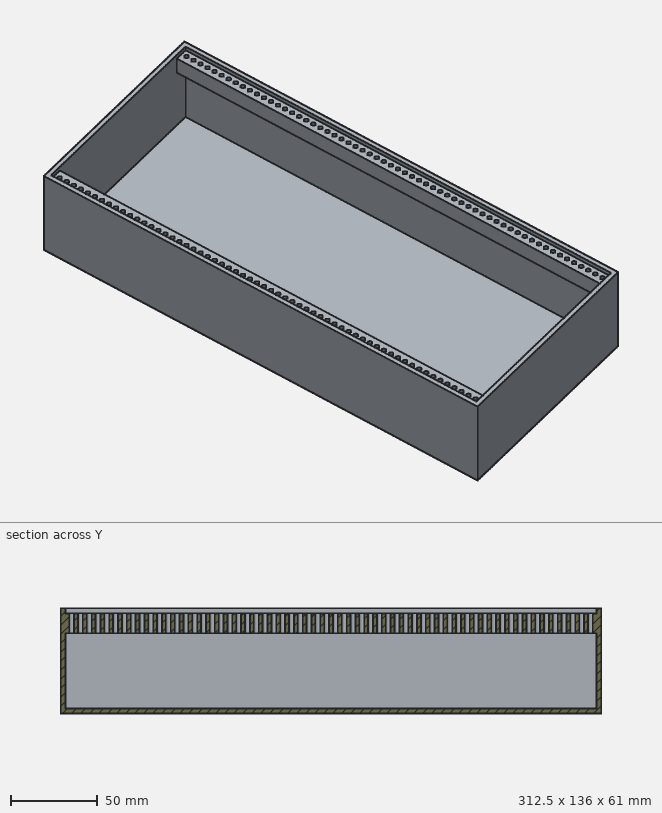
import cadquery as cq

length = 312.5
width = 136.0
height = 61.0
wall = 3.0
floor = 3.0

rail_width = 8.5
rail_height = 11.5
rail_recess = 3.0

hole_count = 60
hole_diameter = 2.7
hole_row_length = 299.7
hole_row_spacing = 122.5

inner_length = length - 2 * wall
inner_width = width - 2 * wall
rail_top = height - rail_recess
rail_bottom = rail_top - rail_height
hole_pitch = hole_row_length / (hole_count - 1)


def make_case():
    """Rectangular box with a cavity open at the top."""
    body = cq.Workplane("XY").box(length, width, height, centered=(True, True, False))
    cavity = (
        cq.Workplane("XY", origin=(0, 0, floor))
        .box(inner_length, inner_width, height - floor, centered=(True, True, False))
    )
    return body.cut(cavity)


def make_rail(side):
    """Rail against the +Y (side = 1) or -Y (side = -1) wall, drilled through with its hole row."""
    rail_y = side * (inner_width - rail_width) / 2
    rail = (
        cq.Workplane("XY", origin=(0, rail_y, rail_bottom))
        .box(inner_length, rail_width, rail_height, centered=(True, True, False))
    )
    holes = (
        cq.Workplane("XY", origin=(0, side * hole_row_spacing / 2, rail_bottom))
        .rarray(hole_pitch, 3, hole_count, 1)
        .circle(hole_diameter / 2)
        .extrude(rail_height)
    )
    return rail.cut(holes)


result = make_case()
for side in (-1, 1):
    result = result.union(make_rail(side))